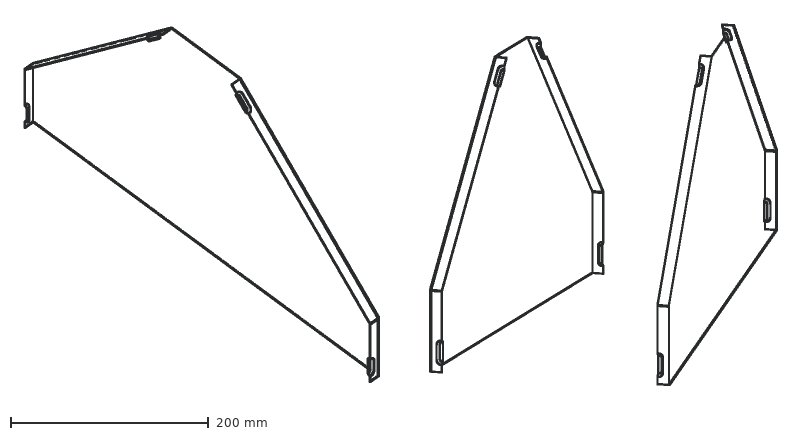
import cadquery as cq
import math

WIDTH = 500.0
HEIGHT = 284.71
DEPTH = 12.5
TOP_WIDTH = 100.0
THICKNESS = 1.0
SLOPE_ANGLE = 45.0

CORNER_GAP = 1.2

DIMPLE_INSET = 3.3
DIMPLE_HEIGHT = 5.7
DIMPLE_LENGTH = 25.0
DIMPLE_CORNER = 5.0
DIMPLE_TAPER = 36.0
SIDE_DIMPLE_CENTER = 20.3
SLOPE_DIMPLE_FROM_TOP = 22.0

HALF_WIDTH = WIDTH / 2
HALF_TOP = TOP_WIDTH / 2
SLOPE_RUN = HALF_WIDTH - HALF_TOP
SLOPE_LENGTH = SLOPE_RUN / math.sin(math.radians(SLOPE_ANGLE))
SHOULDER = HEIGHT - SLOPE_RUN / math.tan(math.radians(SLOPE_ANGLE))
BACK = DEPTH / 2
FREE_EDGE = -DEPTH / 2


def make_plate():
    """Flat panel whose back face lies at the +Y side."""
    outline = [
        (-HALF_WIDTH, 0),
        (HALF_WIDTH, 0),
        (HALF_WIDTH, SHOULDER),
        (HALF_TOP, HEIGHT),
        (-HALF_TOP, HEIGHT),
        (-HALF_WIDTH, SHOULDER),
    ]
    back = cq.Workplane("XZ", origin=(0, BACK, 0))
    return back.polyline(outline).close().extrude(THICKNESS)


def dimple_form(start_x, center_z):
    """Tapered pad with rounded corners, narrowing inward from X = start_x and cut off at the free edge."""
    foot_outline = cq.Sketch().rect(2 * DIMPLE_HEIGHT, DIMPLE_LENGTH).vertices().fillet(DIMPLE_CORNER)
    foot = cq.Workplane("YZ", origin=(start_x, FREE_EDGE, center_z)).placeSketch(foot_outline)
    pad = foot.extrude(DIMPLE_INSET, taper=DIMPLE_TAPER)
    flange_space = cq.Workplane("XY").box(4 * DIMPLE_INSET, DEPTH, 2 * DIMPLE_LENGTH)
    return pad.intersect(flange_space.translate((start_x, 0, center_z)))


def make_flange(length, dimple_center):
    """Flange standing along +Z with its outer face at X = 0 and its inside towards +X."""
    wall = cq.Workplane("XY").box(THICKNESS, DEPTH, length, centered=(False, True, False))
    bump = dimple_form(THICKNESS, dimple_center)
    hollow = dimple_form(0, dimple_center)
    return wall.union(bump).cut(hollow)


def make_left_flanges():
    """Upright and sloping flanges of the left half."""
    side = make_flange(SHOULDER - CORNER_GAP, SIDE_DIMPLE_CENTER)
    side = side.translate((-HALF_WIDTH, 0, 0))
    slope = make_flange(SLOPE_LENGTH, SLOPE_LENGTH - SLOPE_DIMPLE_FROM_TOP)
    slope = slope.rotate((0, 0, 0), (0, 1, 0), SLOPE_ANGLE)
    slope = slope.translate((-HALF_WIDTH, 0, SHOULDER))
    return side.union(slope)


left_flanges = make_left_flanges()
right_flanges = left_flanges.mirror("YZ")
result = make_plate().union(left_flanges).union(right_flanges)